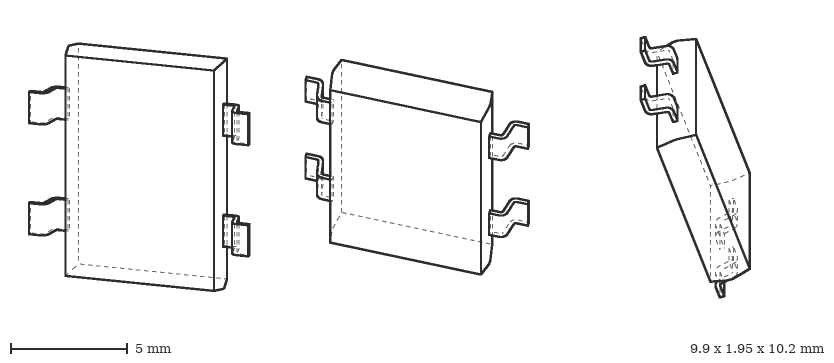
import cadquery as cq
import math

housing_width = 7.0
housing_height = 10.2
half_depth = 0.8
taper_angle = 10.0

lead_thickness = 0.2
lead_width = 1.4
lead_pitch = 5.0
lead_span = 9.9
overall_depth = 1.95
foot_flat = 0.5
arm_lean = 10.0
inner_bend_radius = 0.1
outer_bend_radius = inner_bend_radius + lead_thickness

band_front = -lead_thickness / 2
band_back = lead_thickness / 2
foot_front = band_back + half_depth - overall_depth
foot_back = foot_front + lead_thickness


def tapered_half(start_y, direction):
    """Half of the housing, narrowing away from the band along +Y or -Y."""
    plane = cq.Plane(origin=(0, start_y, 0), xDir=(1, 0, 0), normal=(0, direction, 0))
    return (
        cq.Workplane(plane)
        .rect(housing_width, housing_height)
        .extrude(half_depth, taper=taper_angle)
    )


def make_housing():
    band = cq.Workplane("XY").box(housing_width, lead_thickness, housing_height)
    front_half = tapered_half(band_front, -1)
    back_half = tapered_half(band_back, 1)
    return band.union(front_half).union(back_half)


def make_left_lead(center_z):
    """Gull-wing lead that butts against the -X side of the housing."""
    tip_x = -lead_span / 2
    root_x = -housing_width / 2
    half_bend = math.radians(90 - arm_lean) / 2
    corner_offset = lead_thickness * math.tan(half_bend)
    arm_run = (band_front - foot_front) * math.tan(math.radians(arm_lean))

    foot_front_x = tip_x + foot_flat + outer_bend_radius * math.tan(half_bend)
    foot_back_x = foot_front_x - corner_offset
    shoulder_front_x = foot_front_x + arm_run
    shoulder_back_x = foot_back_x + arm_run

    blank = (
        cq.Workplane("XY", origin=(0, 0, center_z))
        .polyline([
            (tip_x, foot_front),
            (foot_front_x, foot_front),
            (shoulder_front_x, band_front),
            (root_x, band_front),
            (root_x, band_back),
            (shoulder_back_x, band_back),
            (foot_back_x, foot_back),
            (tip_x, foot_back),
        ])
        .close()
        .extrude(lead_width / 2, both=True)
    )

    bends = [
        (foot_front_x, foot_front, outer_bend_radius),
        (foot_back_x, foot_back, inner_bend_radius),
        (shoulder_front_x, band_front, inner_bend_radius),
        (shoulder_back_x, band_back, outer_bend_radius),
    ]
    for x, y, radius in bends:
        corner = cq.selectors.NearestToPointSelector((x, y, center_z))
        blank = blank.edges("|Z").edges(corner).fillet(radius)
    return blank


housing = make_housing()

leads = []
for lead_z in (-lead_pitch / 2, lead_pitch / 2):
    left_lead = make_left_lead(lead_z)
    right_lead = left_lead.mirror("YZ")
    leads.append(left_lead.val())
    leads.append(right_lead.val())

result = cq.Compound.makeCompound([housing.val(), *leads])